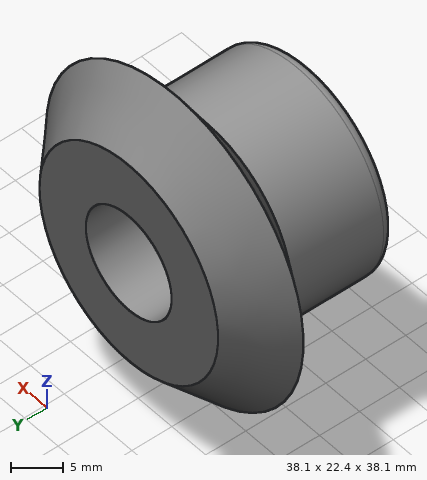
import cadquery as cq

rim_diameter = 38.1
back_diameter = 26.45
hub_diameter = 25.4
bore_diameter = 12.7
total_length = 22.35
back_cone_length = 5.75
front_cone_length = 3.9
hub_edge_radius = 1.25

front_y = -total_length / 2
back_y = total_length / 2
rim_y = back_y - back_cone_length
shoulder_y = rim_y - front_cone_length


def turned_body():
    """Double-cone flange and cylindrical hub, revolved from a half section."""
    half_section = (
        cq.Workplane("XY")
        .moveTo(0, front_y)
        .lineTo(hub_diameter / 2, front_y)
        .lineTo(hub_diameter / 2, shoulder_y)
        .lineTo(rim_diameter / 2, rim_y)
        .lineTo(back_diameter / 2, back_y)
        .lineTo(0, back_y)
        .close()
    )
    return half_section.revolve(360, (0, 0, 0), (0, 1, 0))


def bore():
    """Through hole along the Y axis."""
    return (
        cq.Workplane("XZ", origin=(0, back_y, 0))
        .circle(bore_diameter / 2)
        .extrude(total_length)
    )


rounded_body = turned_body().faces("<Y").edges().fillet(hub_edge_radius)
result = rounded_body.cut(bore())